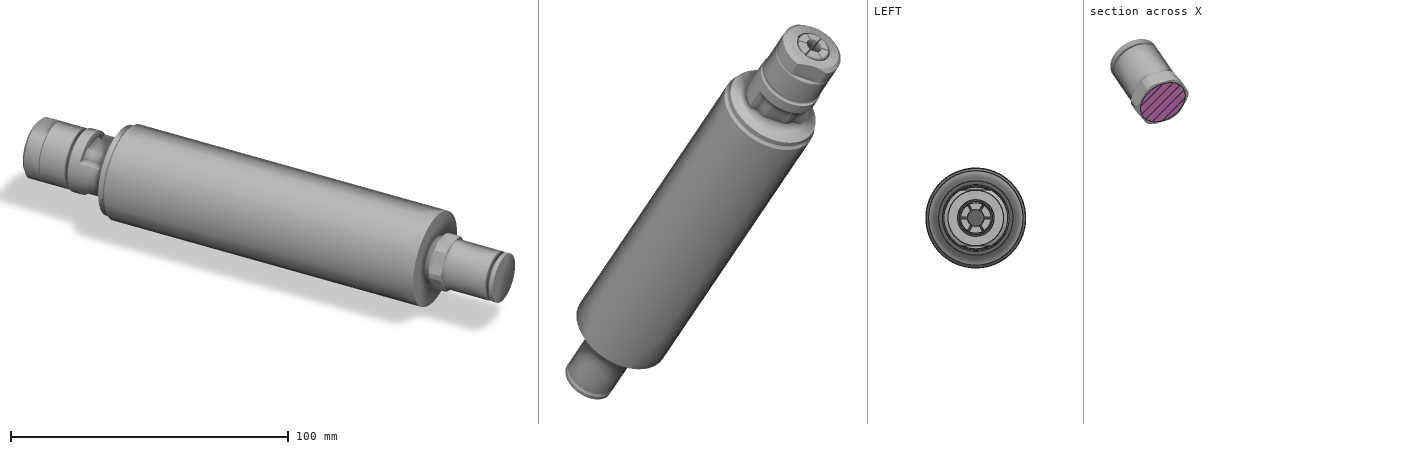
import cadquery as cq
import math


collet_tip_x = 0.0
nut_face_x = 0.7
nut_chamfer_end_x = 1.9
nut_end_x = 7.7
spindle_end_x = 18.0
collar_start_x = 19.6
slot_start_x = 23.6
collar_round_x = 31.5
flange_face_x = 33.2
flange_rim_x = 34.4
body_chamfer_x = 36.3
body_end_x = 161.3
hex_start_x = 163.5
hex_end_x = 168.8
fitting_end_x = 185.8
ring_start_x = 187.0
overall_length = 188.92

collet_dia = 12.0
collet_tip_dia = 11.0
collet_bore_dia = 6.0
collet_bore_depth = 20.0
nut_bore_dia = 13.2
nut_recess_depth = 2.0
slit_count = 6
slit_width = 0.6
slit_depth = 8.0
nut_face_dia = 20.0
nut_dia = 23.0
nut_across_flats = 20.0

spindle_chamfer = 0.4
spindle_neck_dia = 19.0
collar_dia = 24.0
collar_end_dia = 22.8
collar_round_radius = 2.7
lug_width = 12.0
shaft_dia = 18.5
shaft_across_flats = 16.5
shaft_start_x = slot_start_x + 0.9
shaft_flat_ramp = (spindle_neck_dia - shaft_across_flats) / 2

flange_face_dia = 26.8
flange_dia = 34.0
body_dia = 36.0
body_chamfer = (body_dia - flange_dia) / 2

rear_neck_dia = 17.92
hex_across_flats = 19.0
hex_corner_dia = 20.8
hex_chamfer = 0.5
fitting_dia = 18.5
fitting_neck_dia = 13.6
ring_chamfer = 0.5


def rod(start_x, end_x, diameter):
    """Cylinder on the X axis."""
    return cq.Workplane("YZ", origin=(start_x, 0, 0)).circle(diameter / 2).extrude(end_x - start_x)


def chamfered_rod(start_x, end_x, diameter, chamfer, edges):
    """Cylinder on the X axis with a chamfer on the selected end edges."""
    return rod(start_x, end_x, diameter).faces(edges).chamfer(chamfer)


def taper(start_x, end_x, start_dia, end_dia):
    """Cone frustum on the X axis."""
    outline = [(start_x, 0), (start_x, start_dia / 2), (end_x, end_dia / 2), (end_x, 0)]
    return cq.Workplane("XY").polyline(outline).close().revolve(360, (0, 0, 0), (1, 0, 0))


def flat_slab(start_x, end_x, thickness):
    """Wide slab centred on the axis, with its faces square to Z."""
    length = end_x - start_x
    return cq.Workplane("XY").box(length, body_dia, thickness).translate((start_x + length / 2, 0, 0))


def make_nut():
    """Clamping nut with a conical front, two wrench flats and a recess around the collet."""
    nut = taper(nut_face_x, nut_chamfer_end_x, nut_face_dia, nut_dia)
    nut = nut.union(rod(nut_chamfer_end_x, nut_end_x, nut_dia))
    nut = nut.intersect(flat_slab(nut_face_x, nut_end_x, nut_across_flats))
    return nut.cut(rod(nut_face_x, nut_face_x + nut_recess_depth, nut_bore_dia))


def make_collet():
    """Collet nose that stands slightly proud of the nut."""
    tip_chamfer = (collet_dia - collet_tip_dia) / 2
    return chamfered_rod(collet_tip_x, nut_end_x, collet_dia, tip_chamfer, "<X")


def cut_collet(part):
    """Tool bore and the radial slits that split the collet into jaws."""
    part = part.cut(rod(collet_tip_x, collet_bore_depth, collet_bore_dia))
    slit = cq.Workplane("XY").box(slit_depth, collet_dia / 2, slit_width)
    slit = slit.translate((collet_tip_x + slit_depth / 2, collet_dia / 4, 0))
    for index in range(slit_count):
        part = part.cut(slit.rotate((0, 0, 0), (1, 0, 0), index * 360 / slit_count))
    return part


def make_spindle():
    """Spindle nose behind the nut, with a chamfered edge against it and a neck behind it."""
    nose = chamfered_rod(nut_end_x, spindle_end_x, nut_dia, spindle_chamfer, "<X")
    return nose.union(rod(spindle_end_x, collar_start_x, spindle_neck_dia))


def make_collar():
    """Collar whose top and bottom are slotted away, leaving two lugs rounded at the body end."""
    outline = (
        cq.Workplane("XY")
        .moveTo(collar_start_x, 0)
        .lineTo(collar_start_x, collar_dia / 2)
        .lineTo(collar_round_x, collar_dia / 2)
        .radiusArc((flange_face_x, collar_end_dia / 2), collar_round_radius)
        .lineTo(flange_face_x, 0)
        .close()
    )
    collar = outline.revolve(360, (0, 0, 0), (1, 0, 0))
    slots = rod(slot_start_x, flange_face_x, body_dia)
    slots = slots.cut(flat_slab(slot_start_x, flange_face_x, lug_width))
    return collar.cut(slots)


def make_shaft():
    """Inner shaft between the lugs, with two wrench flats that ramp up in an arc at the collar."""
    shaft = rod(slot_start_x, shaft_start_x, spindle_neck_dia)
    shaft = shaft.union(rod(shaft_start_x, flange_face_x, shaft_dia))
    flat_z = shaft_across_flats / 2
    ramp_top_z = flat_z + shaft_flat_ramp
    flat_cutter = (
        cq.Workplane("XZ")
        .moveTo(flange_face_x, flat_z)
        .lineTo(shaft_start_x, flat_z)
        .radiusArc((shaft_start_x - shaft_flat_ramp, ramp_top_z), shaft_flat_ramp)
        .lineTo(flange_face_x, ramp_top_z)
        .close()
        .extrude(shaft_dia / 2, both=True)
    )
    return shaft.cut(flat_cutter).cut(flat_cutter.mirror("XY"))


def make_body():
    """Main barrel with a conical front flange."""
    flange = taper(flange_face_x, flange_rim_x, flange_face_dia, flange_dia)
    flange = flange.union(rod(flange_rim_x, body_chamfer_x, flange_dia))
    return flange.union(chamfered_rod(body_chamfer_x, body_end_x, body_dia, body_chamfer, "<X"))


def make_hex():
    """Hexagon with two corners on the Y axis and turned, chamfered corners."""
    corner_to_corner = hex_across_flats / math.cos(math.pi / 6)
    hexagon = cq.Workplane("YZ", origin=(hex_start_x, 0, 0)).polygon(6, corner_to_corner)
    hexagon = hexagon.extrude(hex_end_x - hex_start_x)
    return hexagon.intersect(chamfered_rod(hex_start_x, hex_end_x, hex_corner_dia, hex_chamfer, "<X or >X"))


def make_fitting():
    """Hose fitting: neck, hexagon, sleeve and end ring."""
    fitting = rod(body_end_x, hex_start_x, rear_neck_dia)
    fitting = fitting.union(make_hex())
    fitting = fitting.union(rod(hex_end_x, fitting_end_x, fitting_dia))
    fitting = fitting.union(rod(fitting_end_x, ring_start_x, fitting_neck_dia))
    return fitting.union(chamfered_rod(ring_start_x, overall_length, fitting_dia, ring_chamfer, "<X"))


result = make_nut().union(make_collet())
for section in (make_spindle(), make_collar(), make_shaft(), make_body(), make_fitting()):
    result = result.union(section)
result = cut_collet(result)